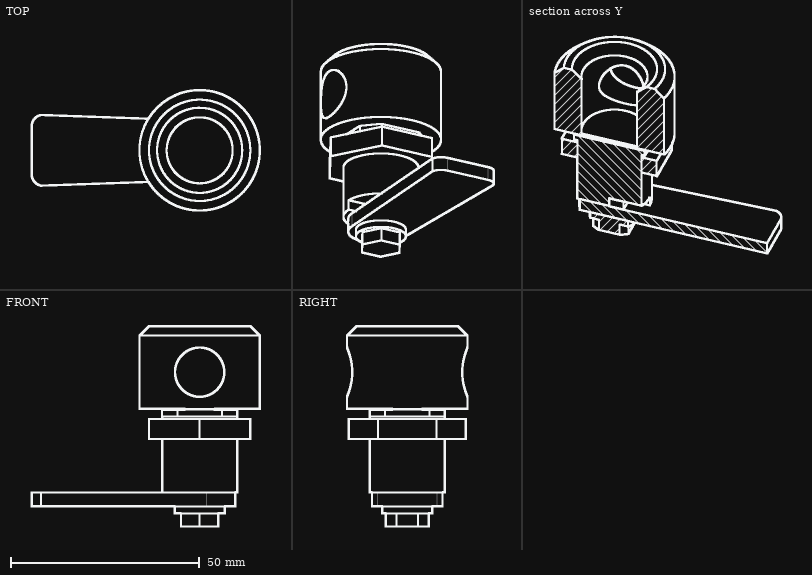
import cadquery as cq
import math

head_height = 3.5
flange_height = 1.9
cam_thickness = 3.7
barrel_base = 9.1
stop_height = 2.65
nut_base = 23.2
nut_height = 5.4
flats_base = 29.2
flats_height = 1.8
knob_base = 31.2
total_height = 53.2

cam_base = head_height + flange_height
flats_top = flats_base + flats_height

overall_length = 60.6

knob_diameter = 32.0
knob_bevel = 2.55
bore_diameter = 17.5
bore_floor = 32.0
cross_hole_diameter = 13.0
cross_hole_level = 40.95

drive_width = 8.0

barrel_diameter = 19.95
flats_width = 20.0
flats_corner_cut = 4.1

nut_across_flats = 26.9
head_across_flats = 9.95

cam_reach = overall_length - knob_diameter / 2
cam_taper_angle = 2.0
cam_tip_flat = 12.6
cam_corner_setback = 2.5
cam_hub_radius = 7.9
cam_hub_offset = 1.6

flange_diameter = 13.3
shank_diameter = 5.9
shank_top = 18.2


def cylinder(diameter, bottom, top):
    return cq.Workplane("XY").workplane(offset=bottom).circle(diameter / 2).extrude(top - bottom)


def square_bar(width, bottom, top):
    return cq.Workplane("XY").workplane(offset=bottom).rect(width, width).extrude(top - bottom)


def hexagon(across_flats, bottom, top):
    """Hexagonal prism with two of its corners on the Y axis."""
    across_corners = across_flats / math.cos(math.radians(30))
    prism = cq.Workplane("XY").workplane(offset=bottom).polygon(6, across_corners).extrude(top - bottom)
    return prism.rotate((0, 0, 0), (0, 0, 1), 90)


def make_knob():
    """Bored head with a cross hole, and a square shaft tapped for the screw."""
    head = cylinder(knob_diameter, knob_base, total_height).faces(">Z").chamfer(knob_bevel)
    bore = cylinder(bore_diameter, bore_floor, total_height)
    bore_rim = head.cut(bore).faces(">Z").edges(cq.selectors.RadiusNthSelector(0))
    head = bore_rim.chamfer(knob_bevel)
    cross_hole = (
        cq.Workplane("XZ")
        .center(0, cross_hole_level)
        .circle(cross_hole_diameter / 2)
        .extrude(knob_diameter / 2, both=True)
    )
    shaft = square_bar(drive_width, cam_base, knob_base)
    screw_hole = cylinder(shank_diameter, cam_base, shank_top)
    return head.cut(cross_hole).union(shaft).cut(screw_hole)


def make_barrel():
    """Round barrel with eight flats under the knob and a quarter-turn stop notch at its foot."""
    body = cylinder(barrel_diameter, barrel_base, flats_top)
    flats = square_bar(flats_width, flats_base, flats_top).edges("|Z").chamfer(flats_corner_cut)
    notch = (
        cq.Workplane("XY")
        .workplane(offset=barrel_base)
        .rect(-barrel_diameter, barrel_diameter, centered=False)
        .extrude(stop_height)
    )
    shaft_hole = square_bar(drive_width, barrel_base, flats_top)
    return body.union(flats).cut(notch).cut(shaft_hole)


def make_nut():
    nut_top = nut_base + nut_height
    return hexagon(nut_across_flats, nut_base, nut_top).cut(cylinder(barrel_diameter, nut_base, nut_top))


def make_cam():
    """Tapered arm with rounded tip corners and a round end tangent to both long edges."""
    taper = math.radians(cam_taper_angle)
    tangent_x = cam_hub_offset + cam_hub_radius * math.sin(taper)
    tangent_y = cam_hub_radius * math.cos(taper)
    corner_x = cam_corner_setback - cam_reach
    corner_y = tangent_y + (tangent_x - corner_x) * math.tan(taper)
    corner_rise = corner_y - cam_tip_flat / 2
    corner_radius = (cam_corner_setback**2 + corner_rise**2) / (2 * cam_corner_setback)
    arm = (
        cq.Workplane("XY")
        .workplane(offset=cam_base)
        .moveTo(-cam_reach, -cam_tip_flat / 2)
        .lineTo(-cam_reach, cam_tip_flat / 2)
        .radiusArc((corner_x, corner_y), corner_radius)
        .lineTo(tangent_x, tangent_y)
        .threePointArc((cam_hub_offset + cam_hub_radius, 0), (tangent_x, -tangent_y))
        .lineTo(corner_x, -corner_y)
        .radiusArc((-cam_reach, -cam_tip_flat / 2), corner_radius)
        .close()
        .extrude(cam_thickness)
    )
    return arm.cut(square_bar(drive_width, cam_base, barrel_base))


def make_screw():
    """Flanged hexagon screw that clamps the cam onto the shaft."""
    head = hexagon(head_across_flats, 0, head_height)
    flange = cylinder(flange_diameter, head_height, cam_base)
    shank = cylinder(shank_diameter, cam_base, shank_top)
    return head.union(flange).union(shank)


knob = make_knob()
barrel = make_barrel()
nut = make_nut()
cam = make_cam()
screw = make_screw()

result = cq.Compound.makeCompound([knob.val(), barrel.val(), nut.val(), cam.val(), screw.val()])